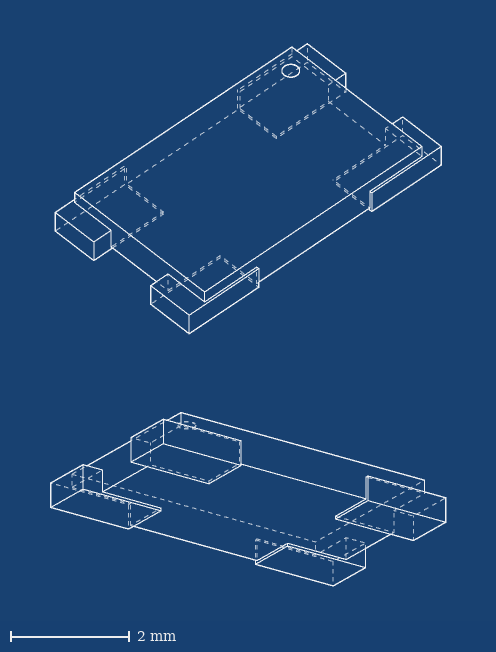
import cadquery as cq

overall_width = 3.3
overall_length = 5.8

body_width = 3.2
body_length = 5.0
body_standoff = 0.05
body_top = 0.69

terminal_width = 0.95
terminal_length = 1.6
terminal_height = 0.45

mark_diameter = 0.3
mark_top = 0.7
mark_inset = 0.4


def make_body():
    """Plain rectangular body held slightly above the seating plane."""
    return (
        cq.Workplane("XY")
        .workplane(offset=body_standoff)
        .rect(body_width, body_length)
        .extrude(body_top - body_standoff)
    )


def make_terminals():
    """Four rectangular terminals, one at each corner of the footprint."""
    spacing_x = overall_width - terminal_width
    spacing_y = overall_length - terminal_length
    return (
        cq.Workplane("XY")
        .rect(spacing_x, spacing_y, forConstruction=True)
        .vertices()
        .rect(terminal_width, terminal_length)
        .extrude(terminal_height)
    )


def make_mark():
    """Thin disc near the -X, +Y corner of the body's top face."""
    mark_x = -body_width / 2 + mark_inset
    mark_y = body_length / 2 - mark_inset
    return (
        cq.Workplane("XY")
        .workplane(offset=body_top)
        .center(mark_x, mark_y)
        .circle(mark_diameter / 2)
        .extrude(mark_top - body_top)
    )


result = make_body().union(make_terminals()).union(make_mark())